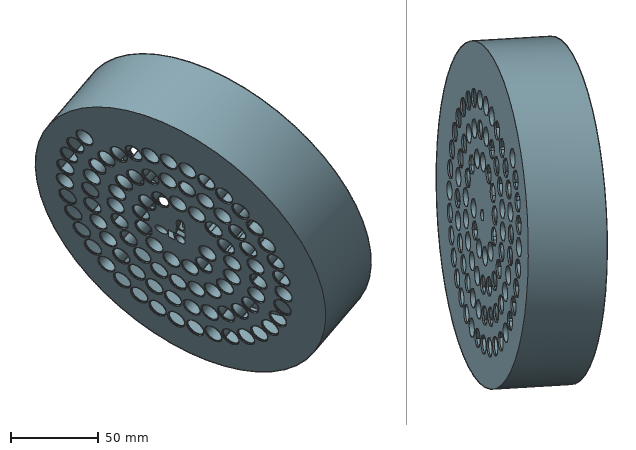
import cadquery as cq
import math

drum_diameter = 200.0
drum_depth = 47.0
wall = 1.0

hole_count = 88
hole_spacing = 13.0
hole_diameter = 11.0
hole_chamfer = 0.5
spiral_start_radius = 18.5
spiral_pitch = 17.46

tube_holes = (
    1, 3, 4, 5, 10, 11, 14, 15, 16, 17, 18, 24, 25, 29, 31, 32, 35, 37, 41, 42,
    47, 48, 51, 56, 57, 58, 66, 73, 79, 84, 88,
)

shaft_diameter = 6.5
screw_diameter = 3.5
access_diameter = 6.0
screw_tilt = 45.0
screw_entry_radius = 13.2
nut_slot_width = 6.0
nut_slot_thickness = 3.2
nut_slot_start = 3.55
nut_slot_depth = access_diameter / 2
screw_angles = (90.0, 180.0)
overshoot = 20.0


def y_cylinder(diameter, length, x=0.0, z=0.0, y=0.0):
    """Cylinder along +Y that starts at (x, y, z)."""
    return cq.Solid.makeCylinder(diameter / 2, length, cq.Vector(x, y, z), cq.Vector(0, 1, 0))


def spiral_points():
    """Hole centres (x, z), running clockwise seen from the front."""
    growth = spiral_pitch / (2 * math.pi)

    def length_at(radius):
        return (radius * math.hypot(radius, growth) / growth + growth * math.asinh(radius / growth)) / 2

    points = []
    radius = spiral_start_radius
    for index in range(hole_count):
        target = length_at(spiral_start_radius) + index * hole_spacing
        for _ in range(8):
            radius -= (length_at(radius) - target) * growth / math.hypot(radius, growth)
        angle = -(radius - spiral_start_radius) / growth
        points.append((radius * math.cos(angle), radius * math.sin(angle)))
    return points


def screw_feature(angle, margin=0.0):
    """Access bore, nut slot and screw bore in place, all grown outwards by the margin."""
    tilt = math.radians(screw_tilt)
    axis_to_shaft = screw_entry_radius / math.cos(tilt)
    access = cq.Workplane("XY", origin=(0, 0, -overshoot)).circle(access_diameter / 2 + margin)
    access = access.extrude(overshoot + nut_slot_start)
    bore = cq.Workplane("XY").circle(screw_diameter / 2 + margin).extrude(axis_to_shaft)
    slot = (
        cq.Workplane("XY")
        .box(
            overshoot,
            nut_slot_width + 2 * margin,
            nut_slot_thickness + 2 * margin,
            centered=(False, True, False),
        )
        .translate((-nut_slot_depth - margin, 0, nut_slot_start - margin))
    )
    plane = cq.Plane(
        origin=(screw_entry_radius, 0, 0),
        xDir=(-math.sin(tilt), -math.cos(tilt), 0),
        normal=(-math.cos(tilt), math.sin(tilt), 0),
    )
    feature = access.union(bore).union(slot).val().moved(cq.Location(plane))
    return feature.rotate(cq.Vector(0, 0, 0), cq.Vector(0, 1, 0), -angle)


def make_drum(points):
    """Shell with the tubes, the shaft tube and the screw housings left standing inside."""
    drum = y_cylinder(drum_diameter, drum_depth)
    cavity = y_cylinder(drum_diameter - 2 * wall, drum_depth - 2 * wall, y=wall)
    tube_diameter = hole_diameter + 2 * wall
    kept = [y_cylinder(shaft_diameter + 2 * wall, drum_depth)]
    kept += [screw_feature(angle, wall) for angle in screw_angles]
    kept += [y_cylinder(tube_diameter, drum_depth, *points[number - 1]) for number in tube_holes]
    return drum.cut(cavity.cut(*kept))


def hole_cutter(x, z):
    """Through hole with a chamfer at the front face."""
    bore = y_cylinder(hole_diameter, drum_depth, x, z)
    chamfer = cq.Solid.makeCone(
        hole_diameter / 2 + hole_chamfer,
        hole_diameter / 2,
        hole_chamfer,
        cq.Vector(x, 0, z),
        cq.Vector(0, 1, 0),
    )
    return [bore, chamfer]


hole_points = spiral_points()
cutters = [y_cylinder(shaft_diameter, drum_depth)]
for point in hole_points:
    cutters += hole_cutter(*point)
cutters += [screw_feature(angle) for angle in screw_angles]
result = cq.Workplane("XY").newObject([make_drum(hole_points).cut(*cutters)])